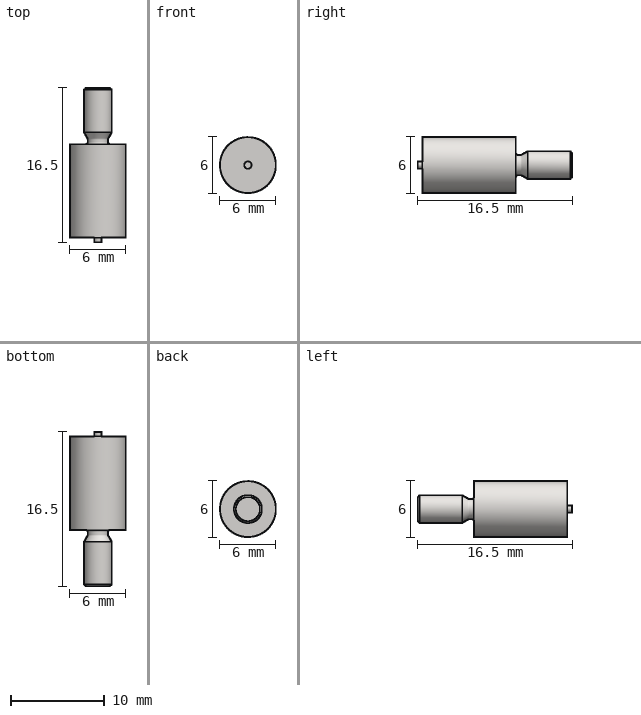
import cadquery as cq
import math

total_length = 16.5
body_diameter = 6.0
body_length = 10.0
pin_diameter = 0.8
pin_length = 0.5

stud_diameter = 3.0
neck_diameter = 2.2
neck_length = 0.56
taper_angle = 30.0
tip_chamfer = 0.21
neck_fillet = 0.2

pin_radius = pin_diameter / 2
body_radius = body_diameter / 2
stud_radius = stud_diameter / 2
neck_radius = neck_diameter / 2

body_front = pin_length
body_back = body_front + body_length
taper_start = body_back + neck_length
taper_length = (stud_radius - neck_radius) / math.tan(math.radians(taper_angle))
taper_end = taper_start + taper_length

half_section = (
    cq.Workplane("XY")
    .moveTo(0, 0)
    .lineTo(pin_radius, 0)
    .lineTo(pin_radius, body_front)
    .lineTo(body_radius, body_front)
    .lineTo(body_radius, body_back)
    .lineTo(neck_radius, body_back)
    .lineTo(neck_radius, taper_start)
    .lineTo(stud_radius, taper_end)
    .lineTo(stud_radius, total_length - tip_chamfer)
    .lineTo(stud_radius - tip_chamfer, total_length)
    .lineTo(0, total_length)
    .close()
)
turned_part = half_section.revolve(360, (0, 0), (0, 1))

selection_margin = 0.02
neck_zone = cq.selectors.BoxSelector(
    (-stud_radius, body_back - selection_margin, -stud_radius),
    (stud_radius, taper_start + selection_margin, stud_radius),
    boundingbox=True,
)
result = turned_part.edges("%CIRCLE").edges(neck_zone).fillet(neck_fillet)